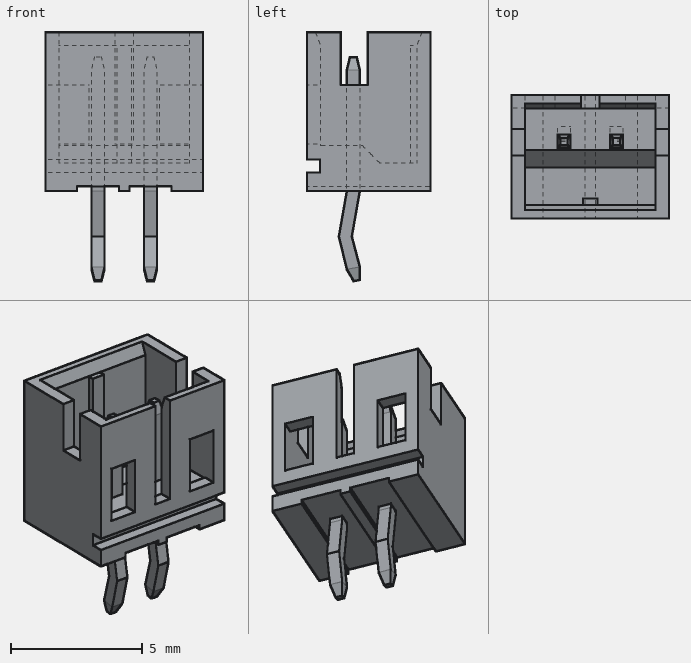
import cadquery as cq


WIDTH = 6.0
DEPTH = 4.7
HEIGHT = 6.05
OVERALL_HEIGHT = 9.48
BACK_Y = 1.76
FRONT_Y = BACK_Y - DEPTH

WALL = 0.52
CAVITY_WIDTH = WIDTH - 2 * WALL
CAVITY_BACK_Y = BACK_Y - WALL
CAVITY_FRONT_Y = FRONT_Y + WALL
HIGH_FLOOR_Z = 1.74
LOW_FLOOR_Z = 1.07
RAMP_TOP_Y = -0.33
RAMP_BOTTOM_Y = RAMP_TOP_Y - (HIGH_FLOOR_Z - LOW_FLOOR_Z)
LEAD_IN_WIDTH = 0.2
LEAD_IN_HEIGHT = 0.5

SIDE_SLOT_DEPTH = 2.0
SIDE_SLOT_BACK_Y = 0.47
SIDE_SLOT_WIDTH = 1.01
BACK_SLOT_WIDTH = 0.71
WINDOW_INNER_X = 1.34
SILL_RISE = 0.06
BACK_SILL_Z = HIGH_FLOOR_Z + SILL_RISE
WINDOW_TOP_Z = HEIGHT - SIDE_SLOT_DEPTH

KEY_WIDTH = 0.54
KEY_DEPTH = 0.25

BACK_GROOVE_DEPTH = 0.49
BACK_GROOVE_BOTTOM_Z = 0.71
BACK_GROOVE_HEIGHT = 0.48
RECESS_WIDTH = 1.59
RECESS_HEIGHT = 0.18

PIN_PITCH = 2.0
PIN_SIZE = 0.5
PIN_HALF = PIN_SIZE / 2
TIP_HALF = 0.13
TOP_TIP_LENGTH = 0.49
PIN_TOP_Z = 5.1
TOP_SHOULDER_Z = PIN_TOP_Z - TOP_TIP_LENGTH
BEND_Z = -1.73
BEND_SHIFT = 0.3
LOWER_SHOULDER_BACK_Z = -2.98
LOWER_SHOULDER_FRONT_Z = -2.88
PIN_END_BACK_Z = HEIGHT - OVERALL_HEIGHT
PIN_END_RISE = 0.05
PIN_END_FRONT_Z = PIN_END_BACK_Z + PIN_END_RISE
PIN_END_THICKNESS = 0.24

PIN_XS = (-PIN_PITCH / 2, PIN_PITCH / 2)


def box_between(x0, x1, y0, y1, z0, z1):
    """Axis-aligned box given by its limits."""
    return cq.Workplane("XY").box(x1 - x0, y1 - y0, z1 - z0, centered=False).translate((x0, y0, z0))


def centred_prism(yz_points, width):
    """YZ outline extruded along X, symmetric about X = 0."""
    return cq.Workplane("YZ").polyline(yz_points).close().extrude(width / 2, both=True)


def make_cavity():
    """Space inside the walls, with the stepped floor and the lead-in at front and back."""
    lead_in_z = HEIGHT - LEAD_IN_HEIGHT
    outline = [
        (CAVITY_BACK_Y + LEAD_IN_WIDTH, HEIGHT),
        (CAVITY_BACK_Y, lead_in_z),
        (CAVITY_BACK_Y, HIGH_FLOOR_Z),
        (RAMP_TOP_Y, HIGH_FLOOR_Z),
        (RAMP_BOTTOM_Y, LOW_FLOOR_Z),
        (CAVITY_FRONT_Y, LOW_FLOOR_Z),
        (CAVITY_FRONT_Y, lead_in_z),
        (CAVITY_FRONT_Y - LEAD_IN_WIDTH, HEIGHT),
    ]
    return centred_prism(outline, CAVITY_WIDTH)


def make_wall_openings():
    """Slots in the side and back walls, and the windows in the back wall corners."""
    side_slots = box_between(
        -WIDTH / 2, WIDTH / 2,
        SIDE_SLOT_BACK_Y - SIDE_SLOT_WIDTH, SIDE_SLOT_BACK_Y,
        HEIGHT - SIDE_SLOT_DEPTH, HEIGHT,
    )
    back_slot = box_between(
        -BACK_SLOT_WIDTH / 2, BACK_SLOT_WIDTH / 2,
        CAVITY_BACK_Y, BACK_Y,
        BACK_SILL_Z, HEIGHT,
    )
    window = box_between(
        WINDOW_INNER_X, CAVITY_WIDTH / 2,
        CAVITY_BACK_Y, BACK_Y,
        BACK_SILL_Z, WINDOW_TOP_Z,
    )
    return [side_slots, back_slot, window, window.mirror("YZ")]


def make_bottom_reliefs():
    """Groove along the back wall and a recess under the housing at each pin."""
    reliefs = [box_between(
        -WIDTH / 2, WIDTH / 2,
        BACK_Y - BACK_GROOVE_DEPTH, BACK_Y,
        BACK_GROOVE_BOTTOM_Z, BACK_GROOVE_BOTTOM_Z + BACK_GROOVE_HEIGHT,
    )]
    for x in PIN_XS:
        reliefs.append(box_between(
            x - RECESS_WIDTH / 2, x + RECESS_WIDTH / 2,
            FRONT_Y, BACK_Y,
            0, RECESS_HEIGHT,
        ))
    return reliefs


def make_housing(pins):
    """Open-topped housing with a matching hole for each pin."""
    housing = box_between(-WIDTH / 2, WIDTH / 2, FRONT_Y, BACK_Y, 0, HEIGHT)
    for cut in [make_cavity(), *make_wall_openings(), *make_bottom_reliefs()]:
        housing = housing.cut(cut)
    key = box_between(
        -KEY_WIDTH / 2, KEY_WIDTH / 2,
        CAVITY_FRONT_Y, CAVITY_FRONT_Y + KEY_DEPTH,
        LOW_FLOOR_Z, HEIGHT - LEAD_IN_HEIGHT,
    )
    housing = housing.union(key)
    for pin in pins:
        housing = housing.cut(pin)
    return housing


def section_wire(half_width, front_y, front_z, back_y, back_z):
    """Rectangular pin section whose front and back edges may differ in height."""
    return cq.Wire.makePolygon([
        cq.Vector(-half_width, front_y, front_z),
        cq.Vector(half_width, front_y, front_z),
        cq.Vector(half_width, back_y, back_z),
        cq.Vector(-half_width, back_y, back_z),
    ], close=True)


def make_tip(shoulder, end):
    """Straight-sided taper between two pin sections."""
    return cq.Workplane(cq.Solid.makeLoft([shoulder, end], True))


def make_pin(x):
    """Square pin, kinked towards the back below the housing, tapered at both ends."""
    shank = centred_prism([
        (-PIN_HALF, TOP_SHOULDER_Z),
        (PIN_HALF, TOP_SHOULDER_Z),
        (PIN_HALF, 0),
        (PIN_HALF + BEND_SHIFT, BEND_Z),
        (PIN_HALF, LOWER_SHOULDER_BACK_Z),
        (-PIN_HALF, LOWER_SHOULDER_FRONT_Z),
        (-PIN_HALF + BEND_SHIFT, BEND_Z),
        (-PIN_HALF, 0),
    ], PIN_SIZE)
    top_tip = make_tip(
        section_wire(PIN_HALF, -PIN_HALF, TOP_SHOULDER_Z, PIN_HALF, TOP_SHOULDER_Z),
        section_wire(TIP_HALF, -TIP_HALF, PIN_TOP_Z, TIP_HALF, PIN_TOP_Z),
    )
    lower_tip = make_tip(
        section_wire(PIN_HALF, -PIN_HALF, LOWER_SHOULDER_FRONT_Z, PIN_HALF, LOWER_SHOULDER_BACK_Z),
        section_wire(TIP_HALF, -PIN_HALF, PIN_END_FRONT_Z, PIN_END_THICKNESS - PIN_HALF, PIN_END_BACK_Z),
    )
    return shank.union(top_tip).union(lower_tip).translate((x, 0, 0))


pins = [make_pin(x) for x in PIN_XS]
housing = make_housing(pins)

result = cq.Compound.makeCompound([housing.solids().val(), *[pin.solids().val() for pin in pins]])